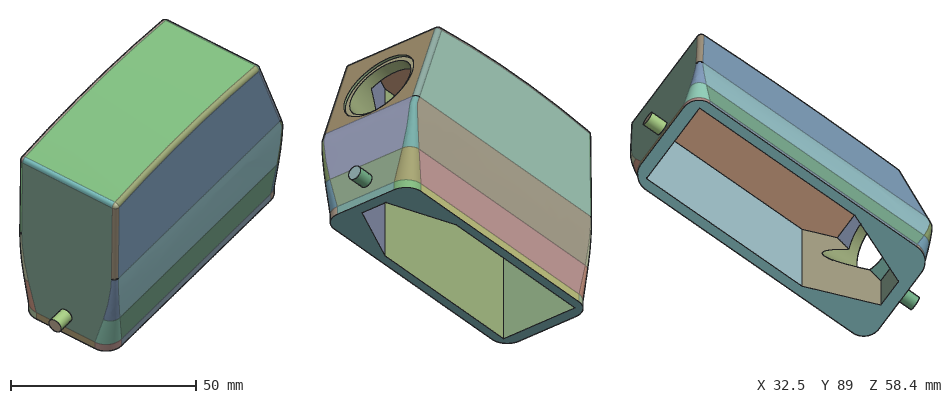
import cadquery as cq
import math

base_width = 29.8
base_half_width = base_width / 2
base_half_length = 39.6
base_height = 2.5
base_corner_radius = 5.2

top_width = 32.5
top_half_width = top_width / 2
lean_end_height = 12.5
vertical_start_height = 28.8

mid_corner_radius = 3.2
corner_decay = 1.6
edge_radius = 1.3

crown_end_height = 56.6
crown_end_half_length = 38.7
crown_radius = 307.9

slope_angle_degrees = 20.0
slope_foot_height = 26.1
bend_radius = 8.45

entry_height = 40.5
recess_radius = 11.6
recess_depth = 0.7
bore_radius = 10.15
bore_depth = 14.2

wall_thickness = 2.7
entry_wall_thickness = 4.0
neck_half_width = 4.1
neck_taper_ratio = 0.4

peg_radius = 2.05
peg_height = 6.9
peg_span = 89.0

slope_angle = math.radians(slope_angle_degrees)
draft_angle = math.atan((base_half_length - crown_end_half_length) / (crown_end_height - base_height))
bend_setback = bend_radius * math.tan((slope_angle - draft_angle) / 2)
bend_start_height = slope_foot_height - bend_setback * math.cos(draft_angle)
bend_end_height = slope_foot_height + bend_setback * math.cos(slope_angle)

side_growth = top_half_width - base_half_width
side_lean_angle = 2 * math.atan(side_growth / (lean_end_height + vertical_start_height - 2 * base_height))
side_curve_radius = (vertical_start_height - lean_end_height) / math.sin(side_lean_angle)


def half_width(z):
    """Half width between the side walls, from the rim up to the vertical stretch."""
    if z <= lean_end_height:
        return base_half_width + (z - base_height) * math.tan(side_lean_angle)
    drop = vertical_start_height - z
    return top_half_width - side_curve_radius + math.sqrt(side_curve_radius**2 - drop**2)


def end_wall_y(z):
    """Distance of a drafted end wall from the middle."""
    return base_half_length - (z - base_height) * math.tan(draft_angle)


def slope_y(z):
    """Y of the sloping face."""
    return end_wall_y(slope_foot_height) - (z - slope_foot_height) * math.tan(slope_angle)


def back_y(z):
    """Y of the +Y end: drafted wall, then rounded bend, then sloping face."""
    if z <= bend_start_height:
        return end_wall_y(z)
    if z >= bend_end_height:
        return slope_y(z)
    center_y = end_wall_y(bend_start_height) - bend_radius * math.cos(draft_angle)
    center_z = bend_start_height - bend_radius * math.sin(draft_angle)
    return center_y + math.sqrt(bend_radius**2 - (z - center_z) ** 2)


def corner_radius(z):
    """Radius of the upright corners: linear along the lean, then easing to the edge radius."""
    if z <= lean_end_height:
        share = (lean_end_height - z) / (lean_end_height - base_height)
        return mid_corner_radius + share * (base_corner_radius - mid_corner_radius)
    share = (vertical_start_height - z) / (vertical_start_height - lean_end_height)
    return edge_radius + share**corner_decay * (mid_corner_radius - edge_radius)


def section(z):
    """Horizontal rounded-rectangle outline of the lower body at height z."""
    front, back = -end_wall_y(z), back_y(z)
    outline = cq.Sketch().rect(2 * half_width(z), back - front).vertices().fillet(corner_radius(z))
    return outline.moved(cq.Location(cq.Vector(0, (front + back) / 2, z)))


def lofted(heights):
    """Solid through the horizontal outlines at the given heights."""
    sections = [section(z) for z in heights]
    return cq.Workplane("XY").placeSketch(*sections).loft()


def make_rim():
    rim = cq.Workplane("XY").rect(2 * base_half_width, 2 * base_half_length).extrude(base_height)
    return rim.edges("|Z").fillet(base_corner_radius)


def make_lower_body():
    """Rim, straight leaning stretch, and curved stretch that takes in the start of the sloping face."""
    leaning = lofted([base_height, lean_end_height])
    curve_steps = 3
    step = (bend_start_height - lean_end_height) / curve_steps
    curve_heights = [lean_end_height + i * step for i in range(curve_steps + 1)]
    mid_bend_height = (bend_start_height + vertical_start_height) / 2
    curved = lofted(curve_heights + [mid_bend_height, vertical_start_height])
    return make_rim().union(leaning).union(curved)


def make_upper_body():
    """Vertical-sided part with the sloping face and crowned top, all its upper edges rounded."""
    front, back = -end_wall_y(crown_end_height), slope_y(crown_end_height)
    crown_rise = crown_radius - math.sqrt(crown_radius**2 - ((back - front) / 2) ** 2)
    body = (
        cq.Workplane("YZ")
        .moveTo(-end_wall_y(vertical_start_height), vertical_start_height)
        .lineTo(slope_y(vertical_start_height), vertical_start_height)
        .lineTo(back, crown_end_height)
        .threePointArc(((front + back) / 2, crown_end_height + crown_rise), (front, crown_end_height))
        .close()
        .extrude(top_half_width, both=True)
    )
    return body.edges("not <Z").fillet(edge_radius)


def make_pegs():
    """One lengthwise rod; the cavity later parts it into two end pegs."""
    pegs = cq.Workplane("XZ", origin=(0, 0, peg_height)).circle(peg_radius)
    return pegs.extrude(peg_span / 2, both=True)


def make_cavity():
    """Lengthwise profile of the hollow, trimmed to a plan that narrows towards the cable entry."""
    front = -(crown_end_half_length - wall_thickness)
    back = crown_end_half_length - wall_thickness
    roof = crown_end_height - wall_thickness
    slope_inset = entry_wall_thickness / math.cos(slope_angle)
    inner_foot = slope_foot_height + (slope_y(slope_foot_height) - slope_inset - back) / math.tan(slope_angle)
    profile = [
        (front, 0),
        (back, 0),
        (back, inner_foot),
        (slope_y(roof) - slope_inset, roof),
        (front, roof),
    ]
    half = base_half_width - wall_thickness
    neck_start = back - (half - neck_half_width) / neck_taper_ratio
    plan = [
        (-half, front),
        (half, front),
        (half, neck_start),
        (neck_half_width, back),
        (-neck_half_width, back),
        (-half, neck_start),
    ]
    lengthwise = cq.Workplane("YZ").polyline(profile).close().extrude(half, both=True)
    return lengthwise.intersect(cq.Workplane("XY").polyline(plan).close().extrude(roof))


def make_cable_entry():
    """Shallow recess and bore, running inward from the sloping face."""
    face = cq.Plane(
        origin=(0, slope_y(entry_height), entry_height),
        xDir=(1, 0, 0),
        normal=(0, -math.cos(slope_angle), -math.sin(slope_angle)),
    )
    recess = cq.Workplane(face).circle(recess_radius).extrude(recess_depth)
    bore = cq.Workplane(face).circle(bore_radius).extrude(bore_depth)
    return recess.union(bore)


hood = make_lower_body().union(make_upper_body()).clean()
result = hood.union(make_pegs()).cut(make_cavity()).cut(make_cable_entry())